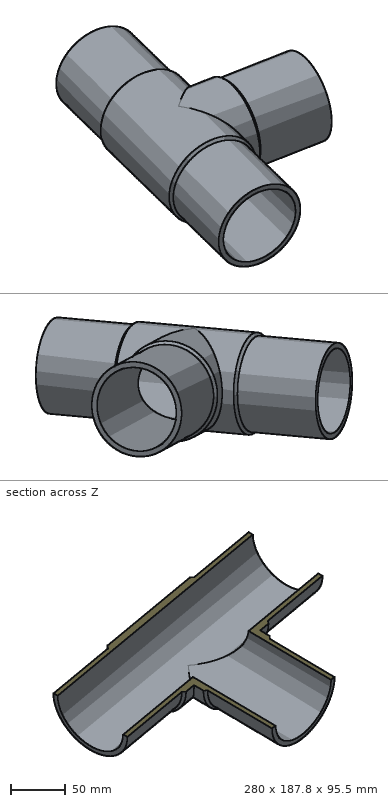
import cadquery as cq

run_length = 280.0
reach = run_length / 2
pipe_diameter = 90.0
body_diameter = 95.5
bore_diameter = 79.2
body_reach = 62.0

pipe_radius = pipe_diameter / 2
body_radius = body_diameter / 2
bore_radius = bore_diameter / 2
chamfer = body_radius - pipe_radius

run_plane = cq.Workplane("YZ")
branch_plane = cq.Workplane("XZ").transformed(rotate=(180, 0, 0))


def run_cylinder(radius, length):
    """Cylinder along X, centred on the tee centre."""
    return run_plane.circle(radius).extrude(length / 2, both=True)


def branch_cylinder(radius, length):
    """Cylinder along +Y, starting at the tee centre."""
    return branch_plane.circle(radius).extrude(length)


run_body = run_cylinder(body_radius, 2 * body_reach).faces("<X or >X").chamfer(chamfer)
run = run_body.union(run_cylinder(pipe_radius, run_length))

collar = branch_cylinder(body_radius, body_reach).faces(">Y").chamfer(chamfer)
branch = collar.union(branch_cylinder(pipe_radius, reach))

bores = run_cylinder(bore_radius, run_length).union(branch_cylinder(bore_radius, reach))

result = run.union(branch).cut(bores)